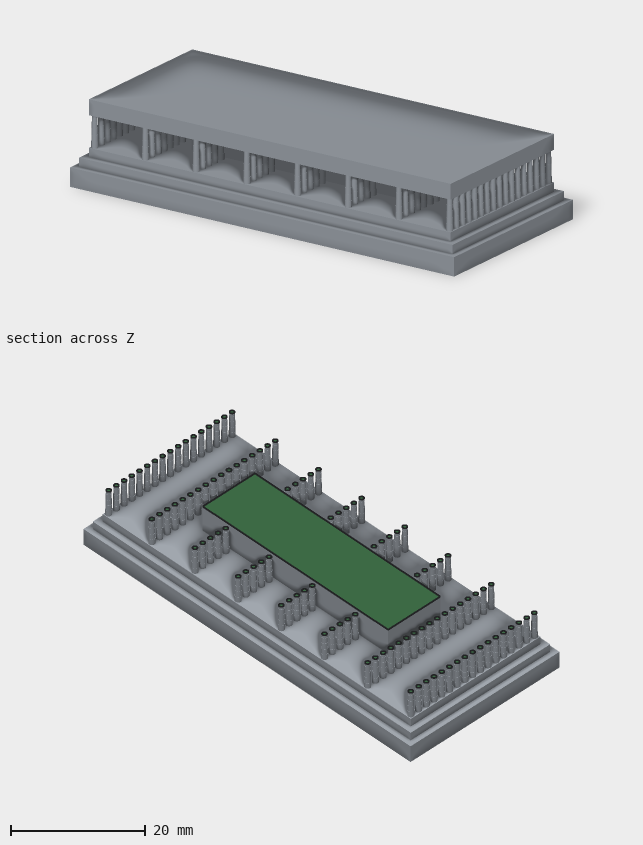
import cadquery as cq

base_length = 69.5
base_width = 30.9
total_height = 13.6
base_thickness = 3.05
step_thickness = 1.45
lower_setback = 1.0
upper_setback = 1.05
step_length = base_length - 2 * lower_setback
step_width = base_width - 2 * lower_setback
floor_length = step_length - 2 * upper_setback
floor_width = step_width - 2 * upper_setback

roof_thickness = 2.5

floor_height = base_thickness + 2 * step_thickness
roof_bottom = total_height - roof_thickness
storey_height = roof_bottom - floor_height

block_length = 39.5
block_width = 10.9

columns_along_x = 8
columns_along_y = 17
column_span_x = 64.2
column_span_y = 25.65
drum_count = 5
bottom_drum_diameter = 1.05
top_drum_diameter = 0.8
diameter_drop = (bottom_drum_diameter - top_drum_diameter) / (drum_count - 1)
column_pitch_x = column_span_x / (columns_along_x - 1)
column_pitch_y = column_span_y / (columns_along_y - 1)
drum_height = storey_height / drum_count


def slab(length, width, thickness, bottom):
    """Rectangular slab centred on the Z axis."""
    base_plane = cq.Workplane("XY", origin=(0, 0, bottom))
    return base_plane.box(length, width, thickness, centered=(True, True, False))


def column_outline():
    """Half section of one column in the XZ plane, from axis to stepped side."""
    points = [(0, 0)]
    for level in range(drum_count):
        radius = (bottom_drum_diameter - level * diameter_drop) / 2
        points.append((radius, level * drum_height))
        points.append((radius, (level + 1) * drum_height))
    points.append((0, storey_height))
    return points


def column_places():
    """Grid positions that stand clear of the inner block."""
    places = []
    for column in range(columns_along_x):
        x = (column - (columns_along_x - 1) / 2) * column_pitch_x
        for row in range(columns_along_y):
            y = (row - (columns_along_y - 1) / 2) * column_pitch_y
            if abs(x) > block_length / 2 or abs(y) > block_width / 2:
                places.append((x, y, floor_height))
    return places


result = slab(base_length, base_width, base_thickness, 0)
result = result.union(slab(step_length, step_width, step_thickness, base_thickness))
result = result.union(slab(floor_length, floor_width, step_thickness, base_thickness + step_thickness))
result = result.union(slab(block_length, block_width, storey_height, floor_height))
result = result.union(slab(floor_length, floor_width, roof_thickness, roof_bottom))

column = cq.Workplane("XZ").polyline(column_outline()).close().revolve(360, (0, 0), (0, 1)).val()
columns = [column.translate(cq.Vector(*place)) for place in column_places()]
result = cq.Workplane(result.val().fuse(*columns))